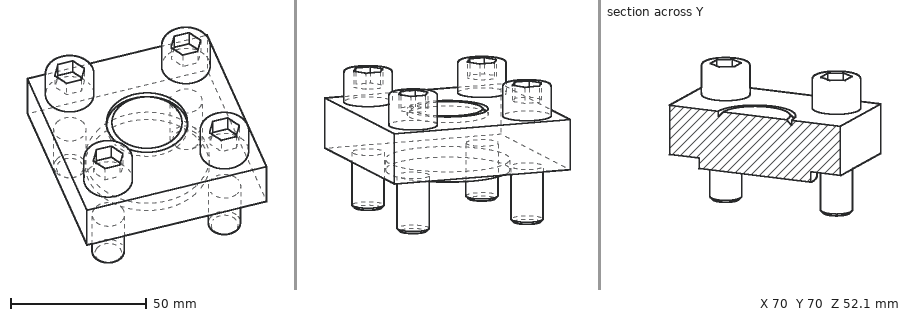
import cadquery as cq
import math

plate_side = 70.0
plate_height = 19.0

spigot_diameter = 46.0
spigot_height = 4.0

groove_outer_diameter = 30.0
groove_depth = 2.0
groove_inner_diameter = groove_outer_diameter - 2 * groove_depth

screw_spacing = 45.3
shank_diameter = 12.0
shank_length = 21.1
tip_chamfer = 1.05
head_diameter = 18.0
head_height = 12.0
head_edge_radius = 1.0
socket_width = 10.0
socket_corners = 6
socket_depth = 6.0


def make_plate():
    plate = cq.Workplane("XY").rect(plate_side, plate_side).extrude(plate_height)
    spigot = cq.Workplane("XY").circle(spigot_diameter / 2).extrude(-spigot_height)
    return plate.union(spigot)


def make_groove():
    groove_bottom = plate_height - groove_depth
    return (
        cq.Workplane("XZ")
        .moveTo(groove_inner_diameter / 2, plate_height)
        .lineTo(groove_outer_diameter / 2, plate_height)
        .lineTo(groove_outer_diameter / 2, groove_bottom)
        .close()
        .revolve(360, (0, 0, 0), (0, 1, 0))
    )


def make_screw():
    """One screw on the Z axis, running through the plate with its head seated on top."""
    shank = (
        cq.Workplane("XY", origin=(0, 0, -shank_length))
        .circle(shank_diameter / 2)
        .extrude(shank_length + plate_height)
        .faces("<Z")
        .chamfer(tip_chamfer)
    )
    head = (
        cq.Workplane("XY", origin=(0, 0, plate_height))
        .circle(head_diameter / 2)
        .extrude(head_height)
        .faces(">Z")
        .edges()
        .fillet(head_edge_radius)
    )
    socket = (
        cq.Workplane("XY", origin=(0, 0, plate_height + head_height))
        .transformed(rotate=(0, 0, 90))
        .polygon(socket_corners, socket_width / math.cos(math.pi / socket_corners))
        .extrude(-socket_depth)
    )
    return shank.union(head.cut(socket))


result = make_plate().cut(make_groove())
screw = make_screw()
for x_side in (-1, 1):
    for y_side in (-1, 1):
        position = (x_side * screw_spacing / 2, y_side * screw_spacing / 2, 0)
        result = result.union(screw.translate(position))